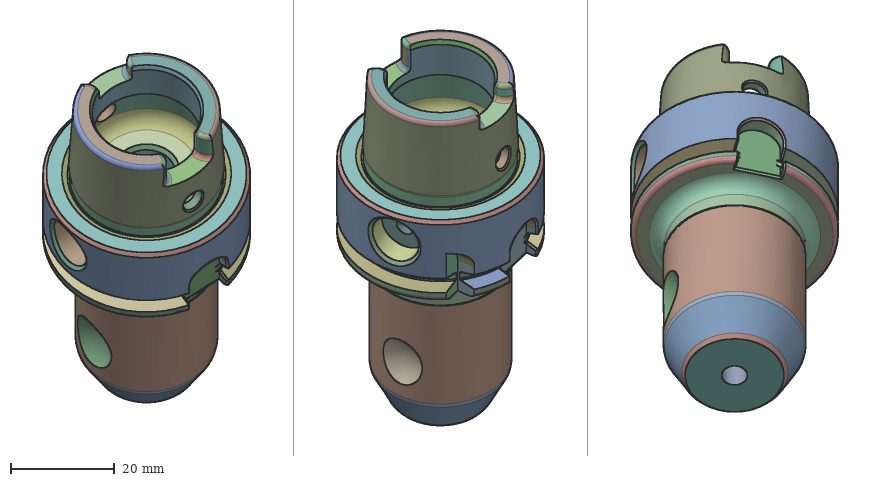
import cadquery as cq
import math

TOTAL_LENGTH = 80.0
NOSE_CORNER_TOP = 1.0
NOSE_CONE_TOP = 8.1
SHANK_START = 9.0
NECK_START = 33.7
FLANGE_BOTTOM = 40.0
FLANGE_TOP = 60.0
TAPER_START = 62.6

NOSE_FACE_RADIUS = 9.5
NOSE_CONE_BOTTOM_RADIUS = 10.2
NOSE_CONE_TOP_RADIUS = 13.6
SHANK_RADIUS = 27.5 / 2
NECK_RADIUS = 27.1 / 2
FLANGE_RADIUS = 20.0
COLLAR_RADIUS = 29.8 / 2
TAPER_BASE_RADIUS = 15.0
TAPER_RATIO = 1 / 20

MATCH_TOLERANCE = 0.01
SEAM_ANGLE = 120.0

NECK_FILLET = 3.0
FLANGE_CHAMFER = 0.7
FLANGE_CORNER = 1.0
GROOVE_RADIUS = 17.4
GROOVE_CENTER = 44.0
GROOVE_FLOOR_WIDTH = 2.0
GROOVE_MOUTH_WIDTH = 3.7
GROOVE_BEVEL_WIDTH = 0.3
GROOVE_BEVEL_DEPTH = 0.2
RELIEF_RADIUS = 16.3
RELIEF_DEPTH = 0.4
RELIEF_FLOOR_RADIUS = 15.3
COLLAR_BEVEL = 0.6

MOUTH_RADIUS = 21.0 / 2
MOUTH_CHAMFER_WIDTH = 0.5
MOUTH_CHAMFER_HEIGHT = 0.9
CHAMBER_RADIUS = 25.5 / 2
CHAMBER_SHOULDER = 71.5
SHOULDER_ANGLE = 30.0
CHAMBER_FLOOR = 61.0
CHAMBER_CORNER = 3.0
RECESS_RADIUS = 11.0 / 2
RECESS_CHAMFER = 0.8
RECESS_DEPTH = 8.0
COOLANT_HOLE_RADIUS = 5.0 / 2

NOTCH_WIDTH = 8.1
NOTCH_INNER_REACH = 8.0
NOTCH_FLARE_START = 10.4
NOTCH_FLARE_RADIUS = 2.7
NOTCH_FLOOR_CORNER = 1.0
SHALLOW_NOTCH_FLOOR = 76.4
DEEP_NOTCH_FLOOR = 73.8
RIM_FILLET = 0.9

CROSS_HOLE_RADIUS = 4.6 / 2
CROSS_HOLE_LEVEL = 66.2
CROSS_HOLE_CHAMFER = 0.3

DRIVE_SLOT_WIDTH = 9.0
DRIVE_SLOT_FLOOR = 17.0
DRIVE_SLOT_TOP = 52.1
DRIVE_SLOT_CHAMFER = 0.4
INDEX_SLOT_WIDTH = 8.0
INDEX_SLOT_FLOOR = 12.1
INDEX_SLOT_CENTER = 16.0
INDEX_SLOT_TOP = 52.0

POCKET_RADIUS = 10.1 / 2
POCKET_CHAMFER = 0.7
POCKET_LEVEL = 53.1
POCKET_DEPTH = 5.3
POCKET_PIT_RADIUS = 1.8
POCKET_REAR_ANGLE = 186.5

SIDE_HOLE_RADIUS = 3.0 / 2
SIDE_HOLE_SINK_RADIUS = 4.0 / 2
SIDE_HOLE_LEVEL = 36.1
SIDE_HOLE_DEPTH = 3.2
DRILL_TIP_ANGLE = 118.0

DIMPLE_SPHERE_RADIUS = 8.0
DIMPLE_LEVEL = 17.6
FRONT_DIMPLE_CENTER = -18.7
REAR_DIMPLE_CENTER = 19.6


def turned_about_axis(shape, angle):
    """Copy of a shape turned around Z."""
    return shape.rotate((0, 0, 0), (0, 0, 1), angle)


def turned_body():
    """Solid of revolution with the complete outer outline."""
    taper_top_radius = TAPER_BASE_RADIUS - TAPER_RATIO * (TOTAL_LENGTH - TAPER_START)
    groove_floor_low = GROOVE_CENTER - GROOVE_FLOOR_WIDTH / 2
    groove_floor_high = GROOVE_CENTER + GROOVE_FLOOR_WIDTH / 2
    corner_offset = FLANGE_CORNER * (1 - math.sqrt(0.5))
    fillet_offset = NECK_FILLET * (1 - math.sqrt(0.5))
    outline = (
        cq.Workplane("XZ")
        .lineTo(NOSE_FACE_RADIUS, 0)
        .lineTo(NOSE_CONE_BOTTOM_RADIUS, NOSE_CORNER_TOP)
        .lineTo(NOSE_CONE_TOP_RADIUS, NOSE_CONE_TOP)
        .lineTo(SHANK_RADIUS, SHANK_START)
        .lineTo(SHANK_RADIUS, NECK_START)
        .lineTo(NECK_RADIUS, NECK_START)
        .lineTo(NECK_RADIUS, FLANGE_BOTTOM - NECK_FILLET)
        .threePointArc(
            (NECK_RADIUS + fillet_offset, FLANGE_BOTTOM - fillet_offset),
            (NECK_RADIUS + NECK_FILLET, FLANGE_BOTTOM),
        )
        .lineTo(FLANGE_RADIUS - FLANGE_CORNER, FLANGE_BOTTOM)
        .threePointArc(
            (FLANGE_RADIUS - corner_offset, FLANGE_BOTTOM + corner_offset),
            (FLANGE_RADIUS, FLANGE_BOTTOM + FLANGE_CORNER),
        )
        .lineTo(FLANGE_RADIUS, GROOVE_CENTER - GROOVE_MOUTH_WIDTH / 2)
        .lineTo(GROOVE_RADIUS + GROOVE_BEVEL_DEPTH, groove_floor_low)
        .lineTo(GROOVE_RADIUS, groove_floor_low + GROOVE_BEVEL_WIDTH)
        .lineTo(GROOVE_RADIUS, groove_floor_high - GROOVE_BEVEL_WIDTH)
        .lineTo(GROOVE_RADIUS + GROOVE_BEVEL_DEPTH, groove_floor_high)
        .lineTo(FLANGE_RADIUS, GROOVE_CENTER + GROOVE_MOUTH_WIDTH / 2)
        .lineTo(FLANGE_RADIUS, FLANGE_TOP - FLANGE_CHAMFER)
        .lineTo(FLANGE_RADIUS - FLANGE_CHAMFER, FLANGE_TOP)
        .lineTo(RELIEF_RADIUS, FLANGE_TOP)
        .lineTo(RELIEF_FLOOR_RADIUS, FLANGE_TOP - RELIEF_DEPTH)
        .lineTo(COLLAR_RADIUS, FLANGE_TOP - RELIEF_DEPTH)
        .lineTo(COLLAR_RADIUS, TAPER_START - COLLAR_BEVEL)
        .lineTo(TAPER_BASE_RADIUS, TAPER_START)
        .lineTo(taper_top_radius, TOTAL_LENGTH)
        .lineTo(0, TOTAL_LENGTH)
        .close()
    )
    return turned_about_axis(outline.revolve(360, (0, 0, 0), (0, 1, 0)), SEAM_ANGLE)


def rim_notch(floor_level):
    """Cutter for a notch on the +X side, flaring outwards with rounded flanks."""
    half_width = NOTCH_WIDTH / 2
    flare_end = NOTCH_FLARE_START + NOTCH_FLARE_RADIUS
    flare_middle = NOTCH_FLARE_START + NOTCH_FLARE_RADIUS * math.sqrt(0.5)
    flare_rise = NOTCH_FLARE_RADIUS * (1 - math.sqrt(0.5))
    mouth_half_width = half_width + NOTCH_FLARE_RADIUS
    return (
        cq.Workplane("XY", origin=(0, 0, floor_level))
        .moveTo(NOTCH_INNER_REACH, -half_width)
        .lineTo(NOTCH_FLARE_START, -half_width)
        .threePointArc((flare_middle, -half_width - flare_rise), (flare_end, -mouth_half_width))
        .lineTo(FLANGE_RADIUS, -mouth_half_width)
        .lineTo(FLANGE_RADIUS, mouth_half_width)
        .lineTo(flare_end, mouth_half_width)
        .threePointArc((flare_middle, half_width + flare_rise), (NOTCH_FLARE_START, half_width))
        .lineTo(NOTCH_INNER_REACH, half_width)
        .close()
        .extrude(TOTAL_LENGTH)
        .faces("<Z")
        .edges()
        .fillet(NOTCH_FLOOR_CORNER)
    )


def clamping_bore():
    """Cutter for the stepped bore that runs down the axis."""
    shoulder_height = (CHAMBER_RADIUS - MOUTH_RADIUS) * math.tan(math.radians(SHOULDER_ANGLE))
    corner_offset = CHAMBER_CORNER * (1 - math.sqrt(0.5))
    outline = (
        cq.Workplane("XZ")
        .lineTo(COOLANT_HOLE_RADIUS, 0)
        .lineTo(COOLANT_HOLE_RADIUS, CHAMBER_FLOOR - RECESS_DEPTH)
        .lineTo(RECESS_RADIUS, CHAMBER_FLOOR - RECESS_DEPTH)
        .lineTo(RECESS_RADIUS, CHAMBER_FLOOR - RECESS_CHAMFER)
        .lineTo(RECESS_RADIUS + RECESS_CHAMFER, CHAMBER_FLOOR)
        .lineTo(CHAMBER_RADIUS - CHAMBER_CORNER, CHAMBER_FLOOR)
        .threePointArc(
            (CHAMBER_RADIUS - corner_offset, CHAMBER_FLOOR + corner_offset),
            (CHAMBER_RADIUS, CHAMBER_FLOOR + CHAMBER_CORNER),
        )
        .lineTo(CHAMBER_RADIUS, CHAMBER_SHOULDER - shoulder_height)
        .lineTo(MOUTH_RADIUS, CHAMBER_SHOULDER)
        .lineTo(MOUTH_RADIUS, TOTAL_LENGTH - MOUTH_CHAMFER_HEIGHT)
        .lineTo(MOUTH_RADIUS + MOUTH_CHAMFER_WIDTH, TOTAL_LENGTH)
        .lineTo(0, TOTAL_LENGTH)
        .close()
    )
    return turned_about_axis(outline.revolve(360, (0, 0, 0), (0, 1, 0)), SEAM_ANGLE)


def radial_cutter(profile, level):
    """Revolve (radius, distance from axis) points about the -Y direction at a level."""
    return (
        cq.Workplane("XY", origin=(0, 0, level))
        .polyline([(radius, -distance) for radius, distance in profile])
        .close()
        .revolve(360, (0, 0, 0), (0, 1, 0))
    )


def chamfer_radial_hole(body, angle, level, radius, least_distance, chamfer):
    """Chamfer the mouth of a radial hole that points to -Y turned by the angle."""
    turn = math.radians(angle)

    def is_mouth(edge):
        for share in (0.1, 0.5, 0.9):
            point = edge.positionAt(share)
            sideways = point.x * math.cos(turn) + point.y * math.sin(turn)
            outwards = point.x * math.sin(turn) - point.y * math.cos(turn)
            if abs(math.hypot(sideways, point.z - level) - radius) > MATCH_TOLERANCE:
                return False
            if outwards < least_distance:
                return False
        return True

    return body.newObject([edge for edge in body.edges().vals() if is_mouth(edge)]).chamfer(chamfer)


def flange_slot(width, floor_distance, top_level, y_center):
    """Cutter for a round-topped slot entering from -X and open at the flange bottom."""
    half_width = width / 2
    arc_level = top_level - half_width
    return (
        cq.Workplane("YZ", origin=(-floor_distance, 0, 0))
        .moveTo(y_center - half_width, FLANGE_BOTTOM)
        .lineTo(y_center - half_width, arc_level)
        .threePointArc((y_center, top_level), (y_center + half_width, arc_level))
        .lineTo(y_center + half_width, FLANGE_BOTTOM)
        .close()
        .extrude(-FLANGE_RADIUS)
    )


def is_drive_slot_rim(edge):
    """True for the edges where the walls or floor of a drive slot meet the flange outline."""
    center = edge.Center()
    if math.hypot(abs(center.x) - DRIVE_SLOT_FLOOR, center.z - FLANGE_BOTTOM) < MATCH_TOLERANCE:
        return True
    half_width = DRIVE_SLOT_WIDTH / 2
    arc_level = DRIVE_SLOT_TOP - half_width
    for share in (0.1, 0.5, 0.9):
        point = edge.positionAt(share)
        wall_distance = math.hypot(point.y, max(point.z - arc_level, 0))
        if abs(wall_distance - half_width) > MATCH_TOLERANCE:
            return False
        if abs(point.x) < DRIVE_SLOT_FLOOR + MATCH_TOLERANCE:
            return False
    return True


result = turned_body()
result = result.cut(rim_notch(DEEP_NOTCH_FLOOR))
result = result.cut(turned_about_axis(rim_notch(SHALLOW_NOTCH_FLOOR), 180))
result = result.faces(">Z").edges().fillet(RIM_FILLET)
result = result.cut(clamping_bore())

cross_hole = cq.Workplane("YZ", origin=(0, 0, CROSS_HOLE_LEVEL)).circle(CROSS_HOLE_RADIUS)
result = result.cut(cross_hole.extrude(FLANGE_RADIUS, both=True))
for angle in (-90, 90):
    result = chamfer_radial_hole(
        result, angle, CROSS_HOLE_LEVEL, CROSS_HOLE_RADIUS, CHAMBER_RADIUS + CROSS_HOLE_CHAMFER, CROSS_HOLE_CHAMFER
    )

drive_slot = flange_slot(DRIVE_SLOT_WIDTH, DRIVE_SLOT_FLOOR, DRIVE_SLOT_TOP, 0)
for angle in (0, 180):
    result = result.cut(turned_about_axis(drive_slot, angle))
result = result.newObject([e for e in result.edges().vals() if is_drive_slot_rim(e)]).chamfer(DRIVE_SLOT_CHAMFER)
result = result.cut(flange_slot(INDEX_SLOT_WIDTH, INDEX_SLOT_FLOOR, INDEX_SLOT_TOP, INDEX_SLOT_CENTER))

pocket_floor = FLANGE_RADIUS - POCKET_DEPTH
pit_depth = POCKET_PIT_RADIUS / math.tan(math.radians(DRILL_TIP_ANGLE / 2))
pocket = radial_cutter(
    [
        (0, pocket_floor - pit_depth),
        (POCKET_PIT_RADIUS, pocket_floor),
        (POCKET_RADIUS, pocket_floor),
        (POCKET_RADIUS, FLANGE_RADIUS),
        (0, FLANGE_RADIUS),
    ],
    POCKET_LEVEL,
)
for angle in (0, POCKET_REAR_ANGLE):
    result = result.cut(turned_about_axis(pocket, angle))
    result = chamfer_radial_hole(
        result, angle, POCKET_LEVEL, POCKET_RADIUS, pocket_floor + POCKET_CHAMFER, POCKET_CHAMFER
    )

side_floor = NECK_RADIUS - SIDE_HOLE_DEPTH
side_sink = SIDE_HOLE_SINK_RADIUS - SIDE_HOLE_RADIUS
side_tip_depth = SIDE_HOLE_RADIUS / math.tan(math.radians(DRILL_TIP_ANGLE / 2))
side_hole = radial_cutter(
    [
        (0, side_floor - side_tip_depth),
        (SIDE_HOLE_RADIUS, side_floor),
        (SIDE_HOLE_RADIUS, NECK_RADIUS - side_sink),
        (SIDE_HOLE_SINK_RADIUS, NECK_RADIUS),
        (SIDE_HOLE_SINK_RADIUS, SHANK_RADIUS + SIDE_HOLE_RADIUS),
        (0, SHANK_RADIUS + SIDE_HOLE_RADIUS),
    ],
    SIDE_HOLE_LEVEL,
)
result = result.cut(turned_about_axis(side_hole, -90))

for center_y in (FRONT_DIMPLE_CENTER, REAR_DIMPLE_CENTER):
    result = result.cut(cq.Workplane("XY").sphere(DIMPLE_SPHERE_RADIUS).translate((0, center_y, DIMPLE_LEVEL)))